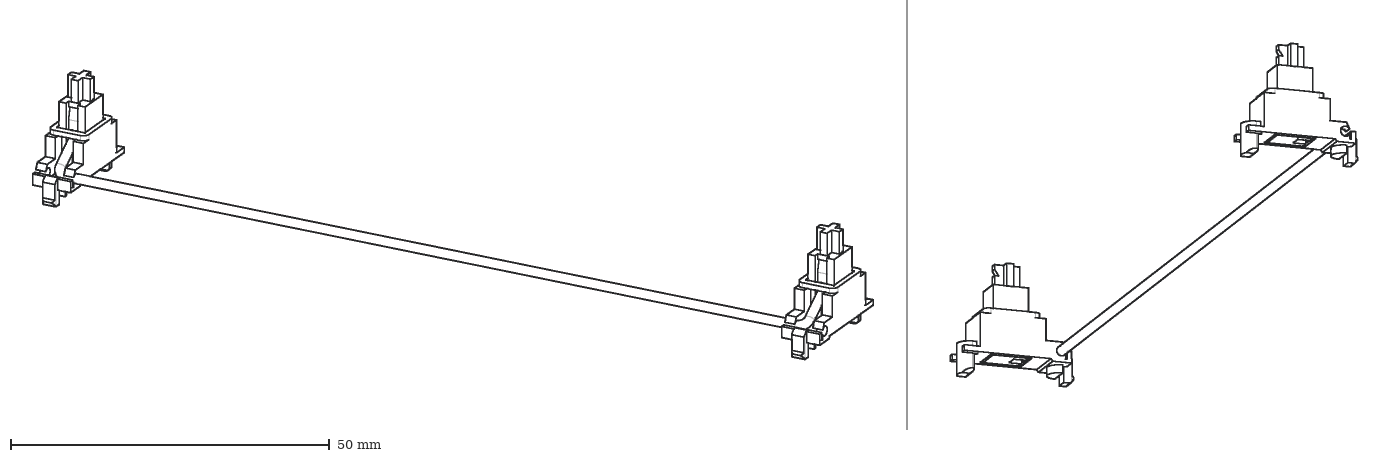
import cadquery as cq
import math


total_length = 140.13
stem_spacing = 133.35
housing_width = total_length - stem_spacing
housing_half_width = housing_width / 2
station_centers = (-stem_spacing / 2, stem_spacing / 2)

body_bottom = 3.0
body_top = 10.3
step_height = 0.85
step_top = body_top - step_height
body_half_depth = 5.5
rim_half_depth = 4.7
rim_corner_radius = 1.0
well_width = 5.0
well_depth = 6.8

wire_diameter = 1.6
wire_radius = wire_diameter / 2
wire_y = -8.05
wire_z = 4.42
leg_angle = 35.0
leg_length = 7.65
bend_radius = 1.6

channel_half_width = bend_radius
channel_width = 2 * channel_half_width
wire_clearance = 0.2
channel_floor = wire_z - wire_radius - wire_clearance
arm_top = 5.9
arm_nose_start = -8.2
arm_front = -8.75
arm_nose_z = 4.8
arm_bottom = 2.6
arm_bottom_back = -6.6
arm_bottom_slope = 0.3
lip_back = -9.0
lip_front = -9.75
lip_top = 4.5
slit_floor = 3.2

heel_center_y = -8.8
heel_radius = 1.9
heel_bottom = 1.3
hook_width = 2.2
hook_corner_radius = 0.6
hook_back = -9.25
hook_peak_z = 4.8
hook_front = -10.7
hook_shoulder_z = 3.9
barb_tip_y = -11.1
barb_tip_z = 0.85
barb_top_z = 1.25
hook_toe_y = -10.4

foot_back = 8.1
foot_top = 5.1
foot_radius = 1.85
foot_chamfer = 0.4
side_lug_width = 1.1
side_lug_top = 3.9
foot_bore_radius = 0.9
foot_side_taper = 0.7

stem_width = 4.66
stem_depth = 5.95
stem_top = 14.5
stem_total_top = 18.3
cross_width = 4.0
cross_depth = 4.2
cross_thickness = 1.2
notch_depth = 0.7
notch_bottom = 16.5
notch_top = 17.5
slot_width = 2.1
slot_floor_y = -2.15
window_bottom = 11.45
window_top = 13.6
window_recess = 0.5
pocket_top = 9.75
pocket_floor_y = -0.9


def block(x_size, y_from, y_to, z_from, z_to):
    """Box centred on X = 0 between the given Y and Z limits."""
    center = (0, (y_from + y_to) / 2, (z_from + z_to) / 2)
    return cq.Workplane("XY", origin=center).box(x_size, y_to - y_from, z_to - z_from)


def side_profile(points, width):
    """Outline of (Y, Z) points extruded symmetrically along X."""
    return cq.Workplane("YZ").polyline(points).close().extrude(width / 2, both=True)


def upright_post(y, radius, z_from, z_to):
    """Vertical cylinder on X = 0."""
    return cq.Workplane("XY", origin=(0, y, z_from)).circle(radius).extrude(z_to - z_from)


def housing_shell():
    """Main block with a smaller rounded rim on top, leaving a step at the front and rear."""
    body = block(housing_width, -body_half_depth, body_half_depth, body_bottom, step_top)
    rim = block(housing_width, -rim_half_depth, rim_half_depth, step_top, body_top)
    return body.union(rim.edges("|Z").fillet(rim_corner_radius))


def wire_clip():
    """Arms reaching over the wire, with an upright lip across a narrow slit in front of them."""
    points = [
        (-body_half_depth, arm_top),
        (arm_nose_start, arm_top),
        (arm_front, arm_nose_z),
        (arm_front, slit_floor),
        (lip_back, slit_floor),
        (lip_back, lip_top),
        (lip_front, lip_top),
        (lip_front, arm_bottom),
        (arm_bottom_back, arm_bottom),
        (arm_bottom_back + arm_bottom_slope, body_bottom),
        (-body_half_depth, body_bottom),
    ]
    return side_profile(points, housing_width)


def front_snap():
    """Half-round heel and the barbed hook in front of it, both hanging under the clip."""
    heel = upright_post(heel_center_y, heel_radius, heel_bottom, slit_floor)
    heel = heel.intersect(block(housing_width, heel_center_y, -body_half_depth, 0, body_top))
    hook_points = [
        (hook_back, 0),
        (hook_toe_y, 0),
        (barb_tip_y, barb_tip_z),
        (hook_front, barb_top_z),
        (hook_front, hook_shoulder_z),
        (lip_front, hook_peak_z),
        (hook_back, lip_top),
    ]
    hook_plan = block(hook_width, barb_tip_y, hook_back, 0, hook_peak_z)
    hook_plan = hook_plan.edges("|Z and <Y").fillet(hook_corner_radius)
    return heel.union(side_profile(hook_points, hook_width).intersect(hook_plan))


def rear_foot():
    """Round-ended locating foot, recessed from above and tapered below, between two flat side lugs."""
    foot_center = foot_back - foot_radius
    foot_front = body_half_depth + foot_chamfer
    outline = [
        (body_half_depth, body_bottom),
        (foot_front, body_bottom),
        (foot_front, foot_chamfer),
        (foot_front + foot_chamfer, 0),
        (foot_back, 0),
        (foot_back, foot_top),
        (body_half_depth, foot_top),
    ]
    tongue = block(2 * foot_radius, body_half_depth, foot_center, 0, foot_top)
    foot = upright_post(foot_center, foot_radius, 0, foot_top).union(tongue)
    foot = foot.intersect(side_profile(outline, 2 * foot_radius))
    half_bottom = foot_radius - foot_side_taper
    front_outline = [
        (-half_bottom, 0),
        (half_bottom, 0),
        (foot_radius, foot_side_taper),
        (foot_radius, foot_top),
        (-foot_radius, foot_top),
        (-foot_radius, foot_side_taper),
    ]
    foot = foot.intersect(cq.Workplane("XZ").polyline(front_outline).close().extrude(-foot_back))
    foot = foot.cut(upright_post(foot_center, foot_bore_radius, body_bottom, foot_top))
    lug_pair = block(housing_width, body_half_depth, foot_back, body_bottom, side_lug_top)
    lug_gap = block(housing_width - 2 * side_lug_width, body_half_depth, foot_back, body_bottom, side_lug_top)
    return foot.union(lug_pair.cut(lug_gap))


def make_housing():
    housing = housing_shell().union(wire_clip()).union(front_snap()).union(rear_foot())
    well = block(well_width, -well_depth / 2, well_depth / 2, body_bottom, body_top)
    channel = block(channel_width, lip_back, 0, channel_floor, step_top)
    wire_bore = (
        cq.Workplane("YZ").center(wire_y, wire_z).circle(wire_radius).extrude(housing_half_width, both=True)
    )
    return housing.cut(well).cut(channel).cut(wire_bore)


def make_stem():
    """Rectangular slider with a notched cross post on top and a front slot for the wire leg."""
    front = -stem_depth / 2
    stem = block(stem_width, front, -front, body_bottom, stem_top)
    stem = stem.cut(block(slot_width, front, slot_floor_y, body_bottom, stem_top))
    stem = stem.cut(block(slot_width, front, pocket_floor_y, body_bottom, pocket_top))
    window = [
        (slot_floor_y, window_bottom),
        (slot_floor_y + window_recess, window_top),
        (slot_floor_y, window_top),
    ]
    stem = stem.cut(side_profile(window, slot_width))
    across = block(cross_width, -cross_thickness / 2, cross_thickness / 2, stem_top, stem_total_top)
    along = block(cross_thickness, -cross_depth / 2, cross_depth / 2, stem_top, stem_total_top)
    notch = [
        (cross_depth / 2, notch_bottom),
        (cross_depth / 2 - notch_depth, notch_bottom),
        (cross_depth / 2, notch_top),
    ]
    along = along.cut(side_profile(notch, cross_thickness))
    return stem.union(across).union(along)


def make_wire():
    """Straight bar with a leg bent back at each end, in a plane tilted up about the bar."""
    tilt = math.radians(leg_angle)
    plane = cq.Plane(
        origin=(0, wire_y, wire_z),
        xDir=(1, 0, 0),
        normal=(0, -math.sin(tilt), math.cos(tilt)),
    )
    leg_x = stem_spacing / 2
    bend_x = leg_x - bend_radius
    bend_offset = bend_radius * (1 - math.sqrt(0.5))
    path = (
        cq.Workplane(plane)
        .moveTo(-leg_x, leg_length)
        .lineTo(-leg_x, bend_radius)
        .threePointArc((-leg_x + bend_offset, bend_offset), (-bend_x, 0))
        .lineTo(bend_x, 0)
        .threePointArc((leg_x - bend_offset, bend_offset), (leg_x, bend_radius))
        .lineTo(leg_x, leg_length)
    )
    leg_end = cq.Plane(
        origin=plane.toWorldCoords((-leg_x, leg_length, 0)),
        xDir=(1, 0, 0),
        normal=plane.yDir,
    )
    return cq.Workplane(leg_end).circle(wire_radius).sweep(path)


housing = make_housing()
stem = make_stem()
bodies = [make_wire().val()]
for center_x in station_centers:
    bodies.append(housing.translate((center_x, 0, 0)).val())
    bodies.append(stem.translate((center_x, 0, 0)).val())

result = cq.Compound.makeCompound(bodies)